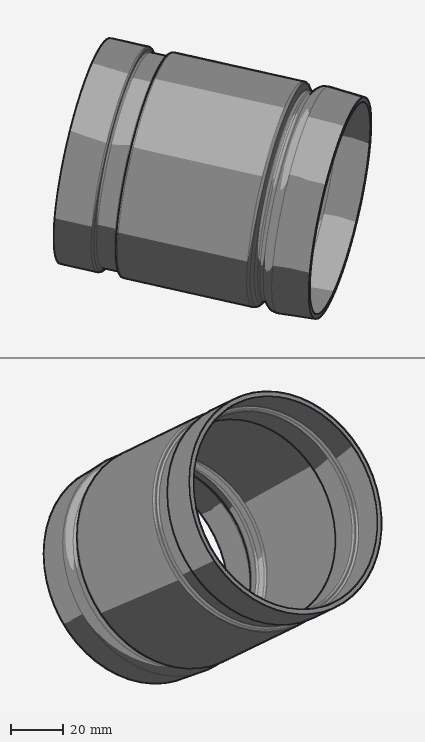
import cadquery as cq
import math

LENGTH = 101.6
PIPE_RADIUS = 88.9 / 2
BORE_RADIUS = 84.9 / 2
WALL = PIPE_RADIUS - BORE_RADIUS

GROOVE_FLOOR_RADIUS = PIPE_RADIUS - WALL
GROOVE_START_FLANK = 15.7
GROOVE_END_FLANK = 24.6
GROOVE_FLANK_ANGLE = 90.0
GROOVE_BEND = 0.8

BEAD_FLOOR_RADIUS = 83.1 / 2
BEAD_START = 77.0
BEAD_ENTRY_ANGLE = 55.0
BEAD_ENTRY_BEND = 1.4
BEAD_EXIT_START = 81.4
BEAD_EXIT_ANGLE = 60.0
BEAD_EXIT_FLOOR_BEND = 1.9

LIP_PEAK_RADIUS = 89.3 / 2
LIP_TAPER_ANGLE = 4.0


class Outline:
    """Chain of lines and arcs in the XY plane, given as (axial position, radius) points."""

    def __init__(self, start):
        self.end = cq.Vector(*start)
        self.edges = []

    def line_to(self, point):
        end = cq.Vector(*point)
        self.edges.append(cq.Edge.makeLine(self.end, end))
        self.end = end

    def arc_to(self, middle, point):
        end = cq.Vector(*point)
        self.edges.append(cq.Edge.makeThreePointArc(self.end, cq.Vector(*middle), end))
        self.end = end


def bend(path, start, radius, heading, new_heading):
    """Add an arc that turns the path between two headings in degrees; return its end point."""
    signed_radius = math.copysign(radius, new_heading - heading)

    def point_at(angle):
        turn_from, turn_to = math.radians(heading), math.radians(angle)
        return (
            start[0] + signed_radius * (math.sin(turn_to) - math.sin(turn_from)),
            start[1] + signed_radius * (math.cos(turn_from) - math.cos(turn_to)),
        )

    end = point_at(new_heading)
    path.arc_to(point_at((heading + new_heading) / 2), end)
    return end


def upright_step(path, flank_x, start_radius, end_radius):
    """Step to a new radius over an upright flank, with equal bends at its top and bottom."""
    direction = math.copysign(1, end_radius - start_radius)
    heading = direction * GROOVE_FLANK_ANGLE
    start = (flank_x - GROOVE_BEND, start_radius)
    path.line_to(start)
    bend(path, start, GROOVE_BEND, 0, heading)
    flank_end = (flank_x, end_radius - direction * GROOVE_BEND)
    path.line_to(flank_end)
    bend(path, flank_end, GROOVE_BEND, heading, 0)


def bead_entry(path, start, depth):
    """Drop to the bead floor with two equal bends joined by a straight slope."""
    slope = math.radians(BEAD_ENTRY_ANGLE)
    path.line_to(start)
    slope_start = bend(path, start, BEAD_ENTRY_BEND, 0, -BEAD_ENTRY_ANGLE)
    slope_depth = depth - 2 * BEAD_ENTRY_BEND * (1 - math.cos(slope))
    slope_end = (slope_start[0] + slope_depth / math.tan(slope), slope_start[1] - slope_depth)
    path.line_to(slope_end)
    bend(path, slope_end, BEAD_ENTRY_BEND, -BEAD_ENTRY_ANGLE, 0)


def bead_exit_and_lip(path, start, rise):
    """Climb to the lip peak with two tangent bends, then taper in to the +X end."""
    both_bends = rise / (1 - math.cos(math.radians(BEAD_EXIT_ANGLE)))
    lip_bend = both_bends - BEAD_EXIT_FLOOR_BEND
    path.line_to(start)
    lip_bend_start = bend(path, start, BEAD_EXIT_FLOOR_BEND, 0, BEAD_EXIT_ANGLE)
    taper_start = bend(path, lip_bend_start, lip_bend, BEAD_EXIT_ANGLE, -LIP_TAPER_ANGLE)
    taper_length = LENGTH - taper_start[0]
    taper_drop = taper_length * math.tan(math.radians(LIP_TAPER_ANGLE))
    path.line_to((LENGTH, taper_start[1] - taper_drop))


def turned_solid(depth):
    """Solid of revolution whose surface lies the given depth below the outer surface."""

    def flank_shift(flank_angle):
        return depth * math.tan(math.radians(flank_angle / 2))

    pipe_radius = PIPE_RADIUS - depth
    groove_radius = GROOVE_FLOOR_RADIUS - depth
    groove_shift = flank_shift(GROOVE_FLANK_ANGLE)
    entry_start = (BEAD_START - flank_shift(BEAD_ENTRY_ANGLE), pipe_radius)
    exit_start = (BEAD_EXIT_START + flank_shift(BEAD_EXIT_ANGLE), BEAD_FLOOR_RADIUS - depth)

    path = Outline((0, 0))
    path.line_to((0, pipe_radius))
    upright_step(path, GROOVE_START_FLANK - groove_shift, pipe_radius, groove_radius)
    upright_step(path, GROOVE_END_FLANK + groove_shift, groove_radius, pipe_radius)
    bead_entry(path, entry_start, PIPE_RADIUS - BEAD_FLOOR_RADIUS)
    bead_exit_and_lip(path, exit_start, LIP_PEAK_RADIUS - BEAD_FLOOR_RADIUS)
    path.line_to((LENGTH, 0))
    path.line_to((0, 0))
    outline = cq.Wire.assembleEdges(path.edges)
    return cq.Workplane("XY").add(outline).toPending().revolve(360, (0, 0, 0), (1, 0, 0))


result = turned_solid(0).cut(turned_solid(WALL))